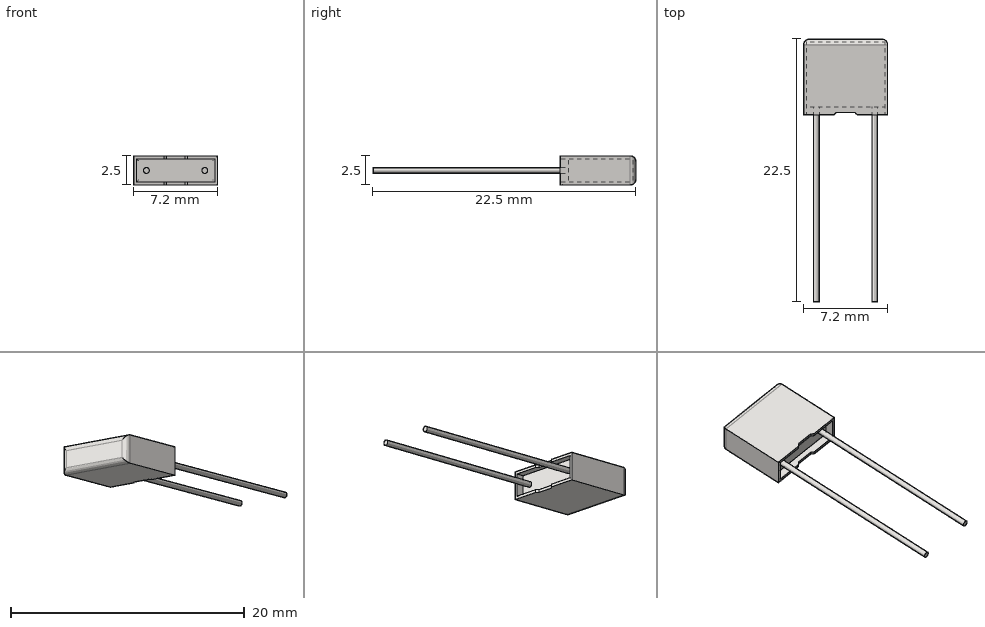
import cadquery as cq


case_width = 7.2
case_length = 6.5
case_height = 2.5
wall = 0.25
closed_end_radius = 0.5

notch_floor_width = 1.6
notch_depth = 0.2
notch_mouth_width = notch_floor_width + 2 * notch_depth

fill_recess = 0.7
fill_width = case_width - 2 * wall
fill_height = case_height - 2 * wall
fill_length = case_length - wall - fill_recess

lead_diameter = 0.5
lead_pitch = 5.0
overall_length = 22.5
lead_tip_y = case_length - overall_length
lead_length = fill_recess - lead_tip_y


def make_block(width, length, height, start_y):
    """Box centred on X and Z that runs toward +Y from start_y."""
    block = cq.Workplane("XY").box(width, length, height, centered=(True, False, True))
    return block.translate((0, start_y, 0))


def make_notch_cutter():
    """Trapezoidal prism that crosses both broad walls at the mouth."""
    return (
        cq.Workplane("XY")
        .moveTo(-notch_mouth_width / 2, 0)
        .lineTo(-notch_floor_width / 2, notch_depth)
        .lineTo(notch_floor_width / 2, notch_depth)
        .lineTo(notch_mouth_width / 2, 0)
        .close()
        .extrude(case_height / 2, both=True)
    )


def make_case():
    """Open box with rounded closed-end edges and a vent notch in the rim."""
    shell = make_block(case_width, case_length, case_height, 0)
    shell = shell.faces(">Y").edges().fillet(closed_end_radius)
    cavity = make_block(fill_width, case_length - wall, fill_height, 0)
    return shell.cut(cavity).cut(make_notch_cutter())


def make_fill():
    """Resin block that fills the cavity behind the recess."""
    return make_block(fill_width, fill_length, fill_height, fill_recess)


def make_lead(x):
    """Round wire from the resin face out through the mouth."""
    wire = cq.Workplane("XZ").circle(lead_diameter / 2).extrude(lead_length)
    return wire.translate((x, fill_recess, 0))


case = make_case()
fill = make_fill()
leads = [make_lead(side * lead_pitch / 2) for side in (-1, 1)]

result = cq.Compound.makeCompound([case.val(), fill.val(), *[lead.val() for lead in leads]])